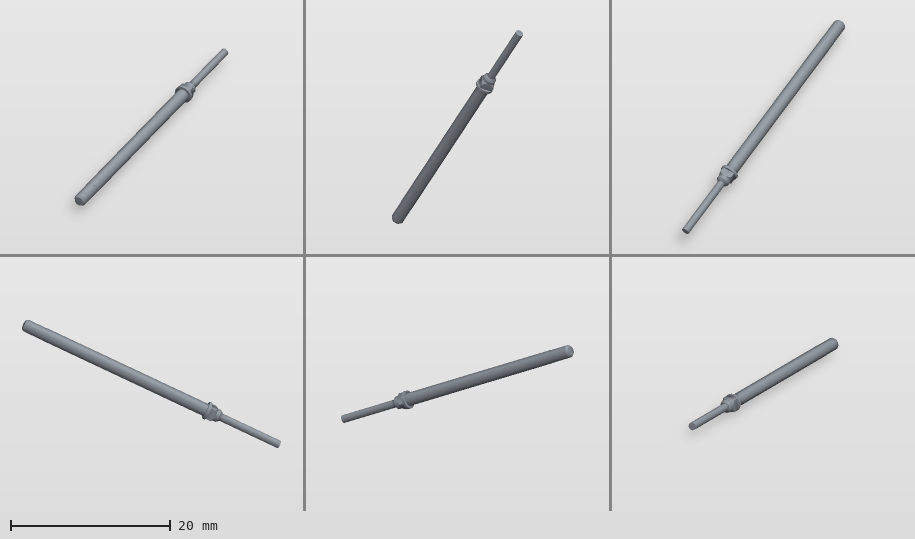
import cadquery as cq


pin_diameter = 1.0
collar_diameter = 1.65
collar_nose_diameter = 1.2
flange_diameter = 2.3
barrel_diameter = 1.65
tail_diameter = 1.6

overall_length = 35.8
barrel_length = 25.5
tail_length = 2.95
tail_chamfer_length = 0.3
tail_chamfer_height = 0.2
flange_thickness = 0.35
square_length = 0.95
collar_length = 0.42
collar_nose_length = 0.3

square_width = 1.65
square_corner_diameter = 2.25

tail_end = -barrel_length
tail_start = tail_end + tail_length
square_rear = flange_thickness
square_front = square_rear + square_length
collar_front = square_front + collar_length
nose_front = collar_front + collar_nose_length
pin_tip = overall_length - barrel_length


def cylinder(diameter, y_start, y_end):
    """Round section on the Y axis between two stations."""
    length = y_end - y_start
    plane = cq.Plane(origin=(0, y_start, 0), xDir=(1, 0, 0), normal=(0, 1, 0))
    return cq.Workplane(plane).circle(diameter / 2).extrude(length)


def tail():
    """Rear end of the barrel, slightly reduced, with a chamfered rim."""
    blank = cylinder(tail_diameter, tail_end, tail_start)
    return blank.faces("<Y").chamfer(tail_chamfer_length, tail_chamfer_height)


def square_section():
    """Square section whose front corners are turned down by a 45 degree cone."""
    square = cq.Workplane("XY").box(square_width, square_length, square_width)
    square = square.translate((0, (square_rear + square_front) / 2, 0))
    cone_length = (square_corner_diameter - collar_diameter) / 2
    turned_blank = cylinder(square_corner_diameter, square_rear, square_front)
    turned_blank = turned_blank.faces(">Y").chamfer(cone_length)
    return square.intersect(turned_blank)


def collar():
    """Round collar with a conical nose around the pin."""
    nose_height = (collar_diameter - collar_nose_diameter) / 2
    blank = cylinder(collar_diameter, square_front, nose_front)
    return blank.faces(">Y").chamfer(collar_nose_length, nose_height)


result = (
    cylinder(barrel_diameter, tail_start, 0)
    .union(tail())
    .union(cylinder(flange_diameter, 0, flange_thickness))
    .union(square_section())
    .union(collar())
    .union(cylinder(pin_diameter, nose_front, pin_tip))
)